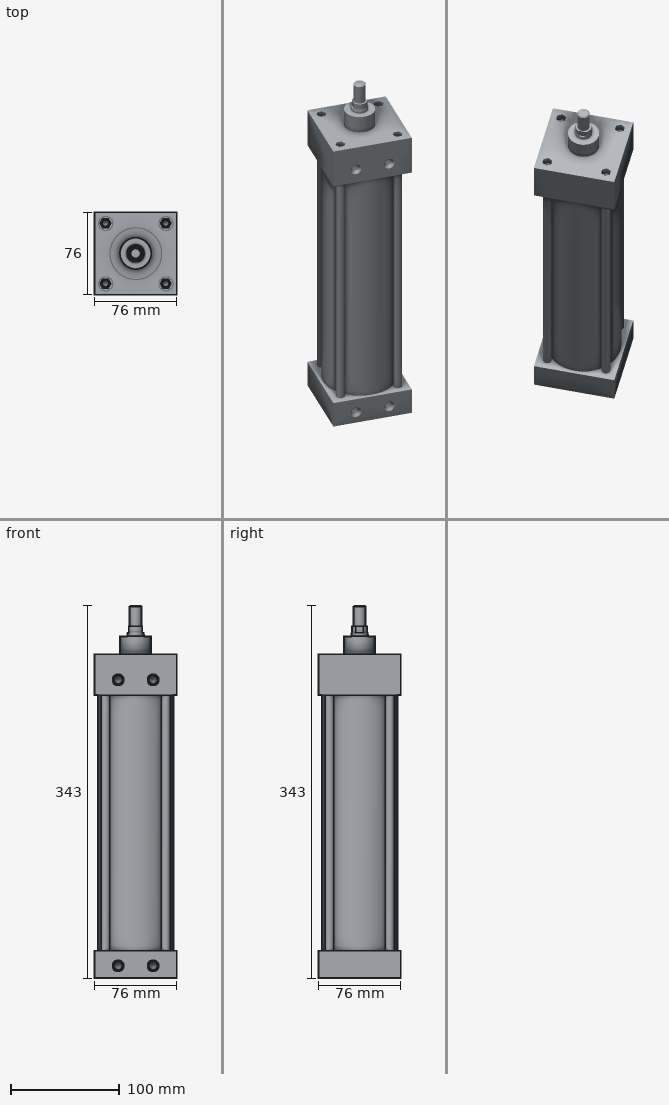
import cadquery as cq
import math

total_height = 343.0
block_side = 76.0
cap_height = 25.5
head_bottom = 260.5
head_top = 298.3
barrel_diameter = 70.0

retainer_diameter = 47.5
retainer_thickness = 10.3
collar_diameter = 28.8
collar_top = 314.8

tie_offset = 27.8
tie_diameter = 8.0
tie_head_diameter = 13.0
tie_head_height = 10.3
socket_flats = 8.2
socket_depth = 7.0
socket_drill_diameter = 6.2

mount_spacing = 32.2
mount_diameter = 8.0
mount_depth = 10.3
countersink_diameter = 10.3
cap_mount_height = 11.3
head_mount_height = 274.5
drill_point_angle = 118.0

rod_diameter = 15.8
shoulder_height = 315.8
neck_diameter = 14.5
neck_bottom = 319.0
neck_top = 324.0
stud_diameter = 11.3
stud_chamfer = 1.0
flats_width = 12.7
flats_bottom = 318.0

tie_points = [(sx * tie_offset, sy * tie_offset) for sx in (-1, 1) for sy in (-1, 1)]


def cylinder(diameter, bottom, top):
    """Upright cylinder on the Z axis between two heights."""
    return cq.Workplane("XY").workplane(offset=bottom).circle(diameter / 2).extrude(top - bottom)


def block(bottom, top):
    """Square end block between two heights."""
    return cq.Workplane("XY").workplane(offset=bottom).rect(block_side, block_side).extrude(top - bottom)


def drill_tip(diameter):
    """Length of the conical point left by a drill."""
    return diameter / 2 / math.tan(math.radians(drill_point_angle / 2))


def mounting_hole(x, z):
    """Blind drilled hole with a 45 degree countersink and a conical bottom, entering the -Y face."""
    radius = mount_diameter / 2
    mouth_radius = countersink_diameter / 2
    profile = [
        (0, 0),
        (mouth_radius, 0),
        (radius, mouth_radius - radius),
        (radius, mount_depth),
        (0, mount_depth + drill_tip(mount_diameter)),
    ]
    drill = cq.Workplane("XY").polyline(profile).close().revolve(360, (0, 0, 0), (0, 1, 0))
    return drill.translate((x, -block_side / 2, z))


def socket():
    """Hexagon socket with a drilled conical bottom, sunk from the head face."""
    corner_diameter = socket_flats / math.cos(math.pi / 6)
    floor = head_top - socket_depth
    hexagon = cq.Workplane("XY").workplane(offset=floor).polygon(6, corner_diameter).extrude(socket_depth)
    tip_height = drill_tip(socket_drill_diameter)
    tip = cq.Solid.makeCone(
        socket_drill_diameter / 2, 0, tip_height, cq.Vector(0, 0, floor), cq.Vector(0, 0, -1)
    )
    return hexagon.union(cq.Workplane(tip))


def make_housing():
    """Caps, barrel, tie rods, screw heads and rod gland as one solid, bored for the rod."""
    housing = block(0, cap_height).union(block(head_bottom, head_top))
    housing = housing.union(cylinder(barrel_diameter, cap_height, head_bottom))
    for x, y in tie_points:
        tie_rod = cylinder(tie_diameter, cap_height, head_bottom)
        housing = housing.union(tie_rod.translate((x, y, 0)))
    for z in (cap_mount_height, head_mount_height):
        for x in (-mount_spacing / 2, mount_spacing / 2):
            housing = housing.cut(mounting_hole(x, z))

    retainer = cylinder(retainer_diameter, head_top - retainer_thickness, head_top)
    tie_head = cylinder(tie_head_diameter, head_top - tie_head_height, head_top)
    housing = housing.cut(retainer)
    for x, y in tie_points:
        housing = housing.cut(tie_head.translate((x, y, 0)))

    gland = retainer.union(cylinder(collar_diameter, head_top, collar_top))
    housing = housing.union(gland, clean=False)
    socket_head = tie_head.cut(socket())
    for x, y in tie_points:
        housing = housing.union(socket_head.translate((x, y, 0)), clean=False)

    rod_bore = cylinder(rod_diameter, head_bottom, collar_top)
    return housing.cut(rod_bore, clean=False)


def make_rod():
    """Stepped rod with two wrench flats facing -X and +X."""
    profile = [
        (0, head_bottom),
        (rod_diameter / 2, head_bottom),
        (rod_diameter / 2, shoulder_height),
        (neck_diameter / 2, neck_bottom),
        (neck_diameter / 2, neck_top),
        (stud_diameter / 2, neck_top),
        (stud_diameter / 2, total_height - stud_chamfer),
        (stud_diameter / 2 - stud_chamfer, total_height),
        (0, total_height),
    ]
    rod = cq.Workplane("XZ").polyline(profile).close().revolve(360, (0, 0, 0), (0, 1, 0))
    flats_height = neck_top - flats_bottom
    flat_depth = (rod_diameter - flats_width) / 2
    for side in (-1, 1):
        flat_center = side * (flats_width + flat_depth) / 2
        flat = cq.Workplane("XY").workplane(offset=flats_bottom).center(flat_center, 0)
        rod = rod.cut(flat.rect(flat_depth, rod_diameter).extrude(flats_height))
    return rod


housing = make_housing()
rod = make_rod()
result = cq.Compound.makeCompound([housing.val(), rod.val()])